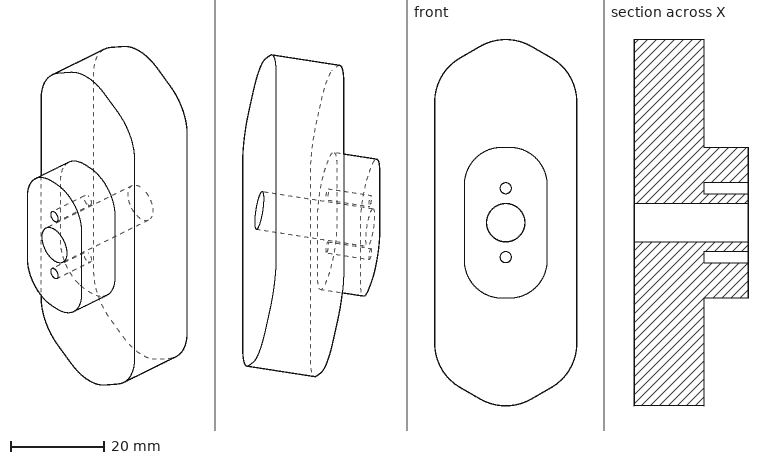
import cadquery as cq
import math

plate_width = 30.6
plate_height = 78.75
plate_thickness = 15.0
plate_corner_radius = 11.0
end_slope = math.radians(30)

boss_width = 17.8
boss_height = 32.4
boss_length = 9.5
boss_corner_radius = 8.1

bore_diameter = 8.2
pin_hole_diameter = 2.4
pin_hole_spacing = 14.8
pin_hole_depth = boss_length

boss_front_y = -boss_length


def make_plate():
    """Hexagonal plate whose rounded tips reach the full plate height."""
    half_width = plate_width / 2
    tip_trim = plate_corner_radius * (1 / math.cos(end_slope) - 1)
    tip_z = plate_height / 2 + tip_trim
    shoulder_z = tip_z - half_width * math.tan(end_slope)
    outline = [
        (0, tip_z),
        (half_width, shoulder_z),
        (half_width, -shoulder_z),
        (0, -tip_z),
        (-half_width, -shoulder_z),
        (-half_width, shoulder_z),
    ]
    plate = cq.Workplane("XZ").polyline(outline).close().extrude(-plate_thickness)
    return plate.edges("|Y").fillet(plate_corner_radius)


def make_boss():
    """Rounded rectangular boss rising from the plate toward -Y."""
    boss = cq.Workplane("XZ").rect(boss_width, boss_height).extrude(boss_length)
    return boss.edges("|Y").fillet(boss_corner_radius)


def make_hole(diameter, depth, z):
    """Cylinder cutting from the boss front face toward +Y at height z."""
    front = cq.Workplane("XZ", origin=(0, boss_front_y, z))
    return front.circle(diameter / 2).extrude(-depth)


result = make_plate().union(make_boss())

result = result.cut(make_hole(bore_diameter, boss_length + plate_thickness, 0))

for side in (-1, 1):
    pin_z = side * pin_hole_spacing / 2
    result = result.cut(make_hole(pin_hole_diameter, pin_hole_depth, pin_z))